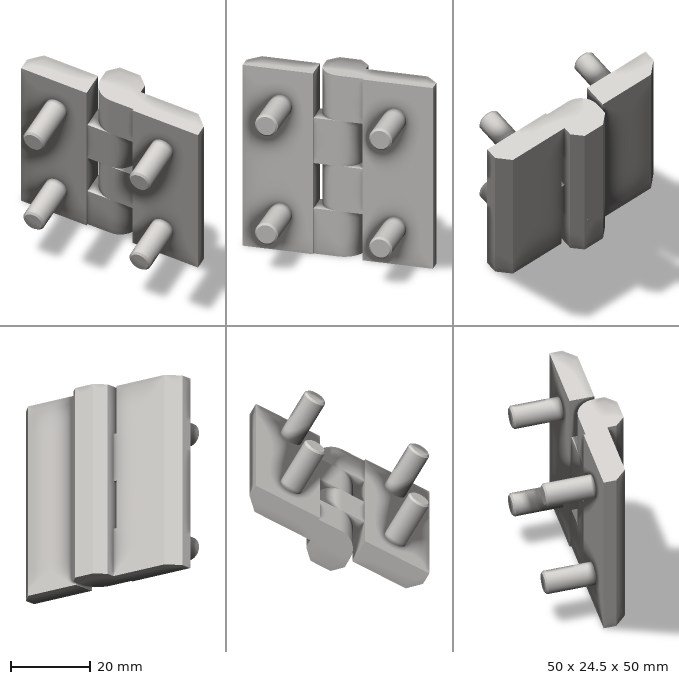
import cadquery as cq
import math

hinge_width = 50.0
hinge_height = 50.0
leaf_inner_x = 6.5
leaf_thickness = 6.5
leaf_chamfer = 3.2

knuckle_count = 4
knuckle_radius = 5.5
knuckle_recess = 0.5
knuckle_chamfer = 2.6
pin_radius = 3.2

stud_radius = 3.0
stud_length = 13.0
stud_chamfer = 0.5
stud_x = 15.0
stud_z = 15.0

leaf_outer_x = hinge_width / 2
bottom_z = -hinge_height / 2
knuckle_height = hinge_height / knuckle_count
axis_y = knuckle_recess + knuckle_radius
knuckle_back_y = axis_y + knuckle_radius


def extrude_along_axis(sketch, start_z, height):
    """Extrude an outline in the plane of X and Y upward from start_z."""
    return sketch.extrude(height).translate((0, 0, start_z))


def make_plate():
    """Plate of the +X leaf, with its outer back edge chamfered."""
    outline = (
        cq.Workplane("XY")
        .moveTo(leaf_inner_x, 0)
        .lineTo(leaf_outer_x, 0)
        .lineTo(leaf_outer_x, leaf_thickness - leaf_chamfer)
        .lineTo(leaf_outer_x - leaf_chamfer, leaf_thickness)
        .lineTo(leaf_inner_x, leaf_thickness)
        .close()
    )
    return extrude_along_axis(outline, bottom_z, hinge_height)


def make_knuckle(start_z):
    """Knuckle reaching from the +X plate around the pin, rounded at its front free side."""
    arc_offset = knuckle_radius * math.sqrt(0.5)
    outline = (
        cq.Workplane("XY")
        .moveTo(leaf_inner_x, knuckle_recess)
        .lineTo(leaf_inner_x, leaf_thickness)
        .lineTo(knuckle_radius, leaf_thickness)
        .lineTo(knuckle_radius, knuckle_back_y - knuckle_chamfer)
        .lineTo(knuckle_radius - knuckle_chamfer, knuckle_back_y)
        .lineTo(knuckle_chamfer - knuckle_radius, knuckle_back_y)
        .lineTo(-knuckle_radius, knuckle_back_y - knuckle_chamfer)
        .lineTo(-knuckle_radius, axis_y)
        .threePointArc((-arc_offset, axis_y - arc_offset), (0, knuckle_recess))
        .close()
    )
    return extrude_along_axis(outline, start_z, knuckle_height)


def make_pin():
    """Plain pin, flush with both ends of the hinge."""
    outline = cq.Workplane("XY").center(0, axis_y).circle(pin_radius)
    return extrude_along_axis(outline, bottom_z, hinge_height)


def make_studs():
    """Pair of studs standing out of the +X plate toward -Y, with chamfered tips."""
    return (
        cq.Workplane("XZ")
        .pushPoints([(stud_x, -stud_z), (stud_x, stud_z)])
        .circle(stud_radius)
        .extrude(stud_length)
        .faces("<Y")
        .chamfer(stud_chamfer)
    )


def make_leaf(first_knuckle):
    """+X leaf with every second knuckle, counted from the bottom, and a bore for the pin."""
    leaf = make_plate().union(make_studs())
    for index in range(first_knuckle, knuckle_count, 2):
        leaf = leaf.union(make_knuckle(bottom_z + index * knuckle_height))
    return leaf.cut(make_pin())


right_leaf = make_leaf(first_knuckle=1)
left_leaf = make_leaf(first_knuckle=0).mirror("YZ")
pin = make_pin()

result = cq.Compound.makeCompound([left_leaf.val(), right_leaf.val(), pin.val()])